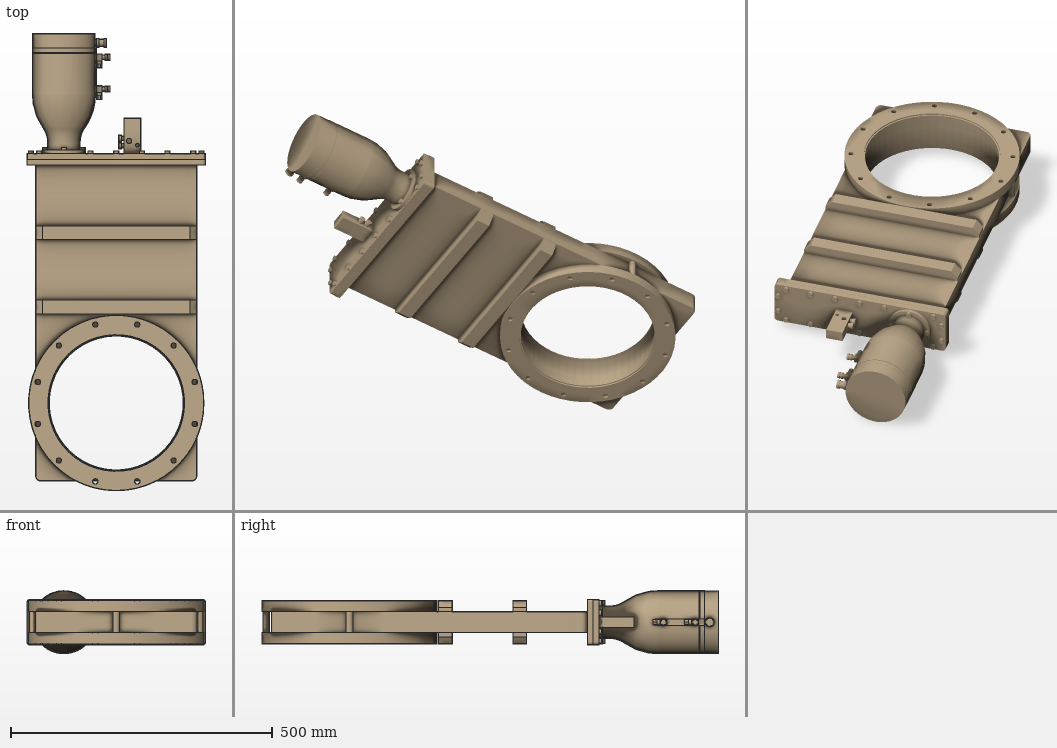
import cadquery as cq
import math


ring_radius = 167.5
ring_outer_z = 41.4
ring_inner_z = 20.0
bore_radius = 128.0
seal_recess_radius = 130.5
seal_recess_depth = 3.0
port_bolt_count = 12
port_bolt_circle_radius = 155.0
port_bolt_hole_diameter = 10.0
post_diameter = 13.0
post_circle_radius = 159.0

body_width = 308.0
body_half_z = ring_inner_z
body_end_y = -149.0
body_corner_radius = 10.0

rib_width = 26.4
rib_center_ys = (183.2, 325.4)
rib_end_chamfer = 13.0
rib_end_setback = 0.5

plate_length = 341.4
plate_height = 87.0
plate_start_y = 454.5
plate_thickness = 11.0
plate_corner_radius = 6.0
plate_inset = 0.3
plate_top_y = plate_start_y + 2 * plate_thickness
plate_bolt_pitch = 49.0
plate_bolts_each_side = 3
plate_bolt_row_z = 36.0
plate_end_bolt_x = 163.0
plate_end_bolt_z = 18.0
bolt_head_diameter = 10.0
bolt_head_height = 5.0

actuator_x = -100.0
actuator_radius = 60.13
actuator_top_y = 705.46
cap_seam_y = 678.0
cap_setback = 0.4
cap_radius = actuator_radius - cap_setback
cap_groove_y = 668.8
cap_groove_width = 2.5
cap_groove_depth = 1.0
dome_start_y = 588.7
dome_arc_radius = 108.0
neck_arc_radius = 48.0
neck_radius = 31.0
base_flange_radius = 41.5
base_flange_thickness = 7.0
base_bolt_count = 4
base_bolt_circle_radius = 36.0

manifold_standoff = 2.0
manifold_face_x = actuator_x + actuator_radius + manifold_standoff
manifold_start_y = 585.0
manifold_width_z = 12.0
connector_diameter = 14.0
connector_collar_diameter = 17.0
connector_collar_width = 5.0
connector_length = 19.0
connector_y = 688.0
fitting_body_ys = (653.5, 593.0)
fitting_body_width = 11.0
fitting_body_length = 27.0
fitting_stem_diameter = 10.0
fitting_plug_length = 8.0
fitting_plug_diameter = 11.0
fitting_nozzle_offset = 7.0
fitting_nozzle_length = 15.0
fitting_nozzle_diameter = 9.0
fitting_collar_diameter = 12.0
fitting_collar_width = 4.0
fitting_collar_pitch = 6.0

block_x = 14.5
block_width = 32.5
block_depth_z = 20.0
block_bottom_z = -10.0
block_length = 67.5
block_holes = ((10.0, 24.0, 10.0), (26.0, 16.0, 7.0))
block_hole_depth = 6.0
block_gland_offsets = (15.0, 29.0)
block_gland_diameter = 12.0
block_gland_length = 10.0
block_gland_neck_diameter = 9.0
block_gland_neck_length = 4.0


def box_between(x_range, y_range, z_range):
    """Box spanning the given coordinate ranges."""
    size = [high - low for low, high in (x_range, y_range, z_range)]
    corner = (x_range[0], y_range[0], z_range[0])
    return cq.Workplane("XY").box(*size, centered=False).translate(corner)


def rod_along_y(x, z, start_y, length, diameter):
    """Cylinder that starts at start_y and points along +Y."""
    rod = cq.Solid.makeCylinder(diameter / 2, length, cq.Vector(x, start_y, z), cq.Vector(0, 1, 0))
    return cq.Workplane(rod)


def rod_along_x(start_x, y, z, length, diameter):
    """Cylinder that starts at start_x and points along +X."""
    rod = cq.Solid.makeCylinder(diameter / 2, length, cq.Vector(start_x, y, z), cq.Vector(1, 0, 0))
    return cq.Workplane(rod)


def make_body():
    """Flat rectangular gate housing with rounded corners at its closed end."""
    half_width = body_width / 2
    body = box_between((-half_width, half_width), (body_end_y, plate_start_y), (-body_half_z, body_half_z))
    return body.edges("|Z and <Y").fillet(body_corner_radius)


def make_port_ring():
    """Upper port ring with its circle of bolt holes."""
    first_hole_angle = 180 / port_bolt_count
    return (
        cq.Workplane("XY")
        .workplane(offset=ring_inner_z)
        .circle(ring_radius)
        .extrude(ring_outer_z - ring_inner_z)
        .faces(">Z")
        .workplane()
        .polarArray(port_bolt_circle_radius, first_hole_angle, 360, port_bolt_count)
        .hole(port_bolt_hole_diameter)
    )


def make_posts():
    """Posts that tie the two port rings together beside and below the body."""
    return (
        cq.Workplane("XY")
        .workplane(offset=-ring_inner_z)
        .pushPoints([(-post_circle_radius, 0), (post_circle_radius, 0), (0, -post_circle_radius)])
        .circle(post_diameter / 2)
        .extrude(2 * ring_inner_z)
    )


def make_bore():
    """Flow passage with a shallow seal recess at each mouth."""
    bore = cq.Workplane("XY").circle(bore_radius).extrude(ring_outer_z, both=True)
    recess = (
        cq.Workplane("XY")
        .workplane(offset=ring_outer_z - seal_recess_depth)
        .circle(seal_recess_radius)
        .extrude(seal_recess_depth)
    )
    return bore.union(recess).union(recess.mirror("XY"))


def make_rib(center_y):
    """Upper cross rib with sloping ends."""
    half_width = body_width / 2 - rib_end_setback
    y_range = (center_y - rib_width / 2, center_y + rib_width / 2)
    rib = box_between((-half_width, half_width), y_range, (body_half_z, ring_outer_z))
    return rib.edges("|Y and >Z").chamfer(rib_end_chamfer)


def make_plate(start_y, inset):
    """One flange plate, with its rim set in from the nominal outline."""
    half_length = plate_length / 2 - inset
    half_height = plate_height / 2 - inset
    y_range = (start_y, start_y + plate_thickness)
    plate = box_between((-half_length, half_length), y_range, (-half_height, half_height))
    return plate.edges("|Y").fillet(plate_corner_radius)


def make_plate_bolts():
    """Bolt heads in two long rows and in pairs at the plate ends."""
    steps = range(-plate_bolts_each_side, plate_bolts_each_side + 1)
    rows = [(step * plate_bolt_pitch, side * plate_bolt_row_z) for step in steps for side in (-1, 1)]
    ends = [(x * plate_end_bolt_x, z * plate_end_bolt_z) for x in (-1, 1) for z in (-1, 1)]
    bolts = cq.Workplane("XY")
    for x, z in rows + ends:
        bolts = bolts.union(rod_along_y(x, z, plate_top_y, bolt_head_height, bolt_head_diameter))
    return bolts


def make_actuator():
    """Turned housing: cylinder, rounded shoulder, neck and base flange."""
    flange_top_y = plate_top_y + base_flange_thickness
    sweep = math.acos(1 - (actuator_radius - neck_radius) / (dome_arc_radius + neck_arc_radius))
    neck_end_y = dome_start_y - (dome_arc_radius + neck_arc_radius) * math.sin(sweep)

    def shoulder_point(angle):
        drop = dome_arc_radius * (1 - math.cos(angle))
        return (actuator_radius - drop, dome_start_y - dome_arc_radius * math.sin(angle))

    def neck_point(angle):
        rise = neck_arc_radius * (1 - math.cos(angle))
        return (neck_radius + rise, neck_end_y + neck_arc_radius * math.sin(angle))

    profile = (
        cq.Workplane("XY")
        .moveTo(0, actuator_top_y)
        .lineTo(cap_radius, actuator_top_y)
        .lineTo(cap_radius, cap_seam_y)
        .lineTo(actuator_radius, cap_seam_y)
        .lineTo(actuator_radius, dome_start_y)
        .threePointArc(shoulder_point(sweep / 2), shoulder_point(sweep))
        .threePointArc(neck_point(sweep / 2), (neck_radius, neck_end_y))
        .lineTo(neck_radius, flange_top_y)
        .lineTo(base_flange_radius, flange_top_y)
        .lineTo(base_flange_radius, plate_top_y)
        .lineTo(0, plate_top_y)
        .close()
    )
    housing = profile.revolve(360, (0, 0, 0), (0, 1, 0)).translate((actuator_x, 0, 0))
    groove_bottom_diameter = 2 * (actuator_radius - cap_groove_depth)
    groove_start_y = cap_groove_y - cap_groove_width / 2
    groove = rod_along_y(actuator_x, 0, groove_start_y, cap_groove_width, 2 * actuator_radius).cut(
        rod_along_y(actuator_x, 0, groove_start_y, cap_groove_width, groove_bottom_diameter)
    )
    housing = housing.cut(groove)
    for index in range(base_bolt_count):
        angle = math.radians(360 * index / base_bolt_count)
        x = actuator_x + base_bolt_circle_radius * math.cos(angle)
        z = base_bolt_circle_radius * math.sin(angle)
        housing = housing.union(rod_along_y(x, z, flange_top_y, bolt_head_height, bolt_head_diameter))
    return housing


def make_fitting(center_y):
    """Elbow fitting: a stem along Y with a hexagonal plug and a collared nozzle pointing along +X."""
    stem_x = manifold_face_x + fitting_body_width / 2
    nozzle_x = manifold_face_x + fitting_body_width
    nozzle_y = center_y + fitting_nozzle_offset
    half_width = fitting_body_width / 2
    stem_end_y = center_y - fitting_body_length / 2
    stem = rod_along_y(stem_x, 0, stem_end_y, fitting_body_length / 2, fitting_stem_diameter)
    plug = (
        cq.Workplane("XZ", origin=(stem_x, stem_end_y, 0))
        .polygon(6, fitting_plug_diameter)
        .extrude(-fitting_plug_length)
    )
    head = box_between(
        (manifold_face_x, nozzle_x),
        (center_y, center_y + fitting_body_length / 2),
        (-half_width, half_width),
    )
    nozzle = rod_along_x(nozzle_x, nozzle_y, 0, fitting_nozzle_length, fitting_nozzle_diameter)
    fitting = stem.union(plug).union(head).union(nozzle)
    end_collar_x = nozzle_x + fitting_nozzle_length - fitting_collar_width
    for collar_x in (end_collar_x - fitting_collar_pitch, end_collar_x):
        fitting = fitting.union(
            rod_along_x(collar_x, nozzle_y, 0, fitting_collar_width, fitting_collar_diameter)
        )
    return fitting


def make_manifold():
    """Flat bar on the actuator that carries the connector and the fittings."""
    half_width = manifold_width_z / 2
    manifold = box_between(
        (actuator_x, manifold_face_x), (manifold_start_y, cap_seam_y), (-half_width, half_width)
    )
    connector_root_x = actuator_x + actuator_radius / 2
    connector_end_x = manifold_face_x + connector_length
    manifold = manifold.union(
        rod_along_x(connector_root_x, connector_y, 0, connector_end_x - connector_root_x, connector_diameter)
    )
    for collar_x in (manifold_face_x, connector_end_x - connector_collar_width):
        manifold = manifold.union(
            rod_along_x(collar_x, connector_y, 0, connector_collar_width, connector_collar_diameter)
        )
    for center_y in fitting_body_ys:
        manifold = manifold.union(make_fitting(center_y))
    return manifold


def make_switch_block():
    """Rectangular block with two blind holes and two cable glands."""
    block_top_z = block_bottom_z + block_depth_z
    block = box_between(
        (block_x, block_x + block_width),
        (plate_top_y, plate_top_y + block_length),
        (block_bottom_z, block_top_z),
    )
    for dx, dy, diameter in block_holes:
        hole = cq.Workplane("XY").circle(diameter / 2).extrude(-block_hole_depth)
        block = block.cut(hole.translate((block_x + dx, plate_top_y + dy, block_top_z)))
    mid_z = block_bottom_z + block_depth_z / 2
    for dy in block_gland_offsets:
        gland_start_x = block_x - block_gland_length
        gland_y = plate_top_y + dy
        head_length = block_gland_length - block_gland_neck_length
        block = block.union(
            rod_along_x(gland_start_x, gland_y, mid_z, block_gland_length, block_gland_neck_diameter)
        )
        block = block.union(rod_along_x(gland_start_x, gland_y, mid_z, head_length, block_gland_diameter))
    return block


port_ring = make_port_ring()
result = make_body().union(make_posts()).union(port_ring).union(port_ring.mirror("XY"))
for center_y in rib_center_ys:
    rib = make_rib(center_y)
    result = result.union(rib).union(rib.mirror("XY"))
result = result.cut(make_bore())
result = result.union(make_plate(plate_start_y, 0))
result = result.union(make_plate(plate_start_y + plate_thickness, plate_inset))
result = result.union(make_plate_bolts())
result = result.union(make_actuator()).union(make_manifold()).union(make_switch_block())